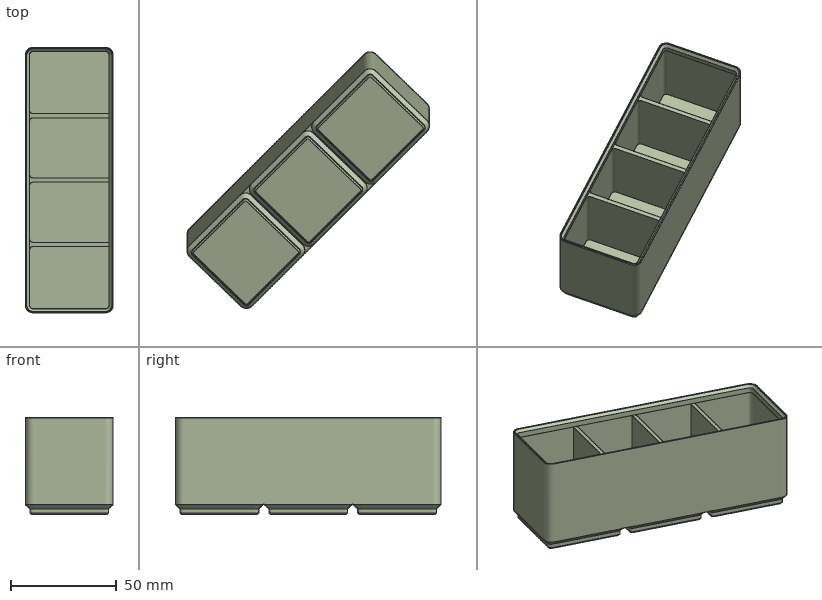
import cadquery as cq

width = 41.5
length = 125.5
height = 45.8
corner_radius = 3.8

foot_count = 3
foot_height = 4.8
foot_chamfer = 0.8
foot_flare = 2.1
flare_bottom = foot_height - foot_flare
foot_pitch = (length - width) / (foot_count - 1)

rim_width = 0.65
lip_slope = 1.3
lip_band = 2.5
lip_inset = rim_width + lip_slope
lip_depth = lip_slope + lip_band

compartment_count = 4
ledge_width = 0.05
floor_height = 7.0
divider_thickness = 2.0
pocket_inset = lip_inset + ledge_width
pocket_radius = corner_radius - pocket_inset
pocket_width = width - 2 * pocket_inset
pocket_length = length - 2 * pocket_inset
divider_pitch = pocket_length / compartment_count
lip_floor = height - lip_depth


def rounded_block(size_x, size_y, size_z, radius, bottom):
    """Block centred on Z with rounded vertical edges, standing at the given height."""
    block = cq.Workplane("XY").box(size_x, size_y, size_z, centered=(True, True, False))
    return block.edges("|Z").fillet(radius).translate((0, 0, bottom))


def make_foot_column():
    """Square foot with a chamfered bottom, a straight band and a 45 degree flare, extended to the rim."""
    band_size = width - 2 * foot_flare
    band = rounded_block(band_size, band_size, flare_bottom, corner_radius - foot_flare, 0)
    band = band.faces("<Z").chamfer(foot_chamfer)
    flare = rounded_block(width, width, height - flare_bottom, corner_radius, flare_bottom)
    flare = flare.faces("<Z").chamfer(foot_flare)
    return band.union(flare)


def make_lip_opening():
    """Mouth of the bin: straight lower band that widens at 45 degrees up to the rim."""
    band = rounded_block(
        width - 2 * lip_inset, length - 2 * lip_inset, lip_depth, corner_radius - lip_inset, lip_floor
    )
    mouth = rounded_block(
        width - 2 * rim_width, length - 2 * rim_width, 2 * lip_slope,
        corner_radius - rim_width, height - lip_slope,
    )
    mouth = mouth.faces("<Z").chamfer(lip_slope)
    return band.union(mouth)


def make_pockets():
    """One long pocket split by dividers that are filleted to the -X wall and square at the +X wall."""
    pocket_depth = lip_floor - floor_height
    pockets = rounded_block(pocket_width, pocket_length, pocket_depth, pocket_radius, floor_height)
    for index in range(1, compartment_count):
        divider_y = index * divider_pitch - pocket_length / 2
        divider = cq.Workplane("XY").box(
            pocket_width, divider_thickness, pocket_depth, centered=(True, True, False)
        )
        pockets = pockets.cut(divider.translate((0, divider_y, floor_height)))
    divider_corners = cq.selectors.BoxSelector(
        (-pocket_width, -pocket_length / 2 + corner_radius, 0),
        (0, pocket_length / 2 - corner_radius, height),
    )
    return pockets.edges("|Z").edges(divider_corners).fillet(pocket_radius)


result = rounded_block(width, length, height - foot_height, corner_radius, foot_height)
for index in range(foot_count):
    foot_y = (index - (foot_count - 1) / 2) * foot_pitch
    result = result.union(make_foot_column().translate((0, foot_y, 0)))
result = result.cut(make_lip_opening()).cut(make_pockets())